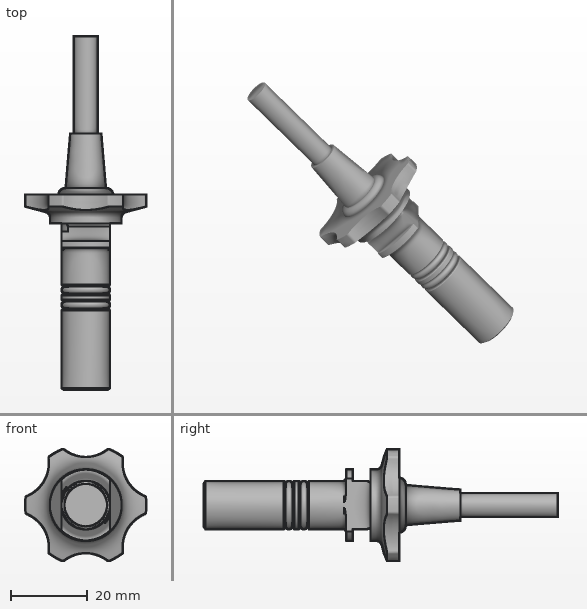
import cadquery as cq
import math

cable_radius = 3.175
cable_end_y = 41.4
relief_end_y = 15.95
relief_end_radius = 4.1
relief_base_radius = 5.3
dome_height = 1.7
dome_base_radius = 7.2

knob_diameter = 31.75
knob_radius = knob_diameter / 2
blank_margin = 1.0
face_cone_angle = math.radians(15)
collar_radius = 9.4
collar_fillet = 1.3
collar_fillet_end_y = -5.9
collar_front_y = -7.55
lobe_count = 6
scallop_floor_radius = 12.6
scallop_radius = 9.25
lobe_corner_fillet = 0.75
notch_width = 0.85
notch_length = 0.8
notch_depth = 0.8

body_radius = 6.35
neck_width = 2 * body_radius
flange_back_y = -12.15
flange_front_y = -14.0
flange_radius = collar_radius
flange_chamfer = 0.15
easing_length = 0.85
easing_drop = 0.4
corner_cut_width = 1.75
corner_cut_length = 2.15
corner_cut_depth = 1.8

body_fillet = 0.5
overall_length = 92.51
body_tip_y = cable_end_y - overall_length
tip_chamfer = 0.8
tip_chamfer_length = 0.5
ring_section = 1.78
groove_width = 2.4
groove_edge_chamfer = 0.2
ring_bite = 0.1
groove_floor_radius = body_radius - ring_section + ring_bite
ring_positions = (-24.95, -28.85)


def revolve_about_y(profile):
    """Close a half profile in the XY plane and spin it about the Y axis."""
    return profile.close().revolve(360, (0, 0, 0), (0, 1, 0))


def slab(width_x, y_start, y_end, height_z):
    """Box centred on the axis between two Y stations."""
    return cq.Workplane("XY").box(width_x, y_start - y_end, height_z).translate(
        (0, (y_start + y_end) / 2, 0)
    )


def make_cable():
    dome_radius = dome_base_radius - relief_base_radius
    return revolve_about_y(
        cq.Workplane("XY")
        .moveTo(0, cable_end_y)
        .lineTo(cable_radius, cable_end_y)
        .lineTo(cable_radius, relief_end_y)
        .lineTo(relief_end_radius, relief_end_y)
        .lineTo(relief_base_radius, dome_height)
        .radiusArc((dome_base_radius, 0), dome_radius)
        .lineTo(0, 0)
    )


def lobe_blank():
    """Six-lobed prism: round-ended lobes with an arc scallop between neighbours."""
    pitch = 360 / lobe_count
    scallop_centre = scallop_floor_radius + scallop_radius
    prism = cq.Workplane("XZ").circle(knob_radius).extrude(-collar_front_y)
    scallops = (
        cq.Workplane("XZ")
        .polarArray(scallop_centre, pitch / 2, 360, lobe_count)
        .circle(scallop_radius)
        .extrude(-collar_front_y)
    )
    return prism.cut(scallops).edges("|Y").fillet(lobe_corner_fillet)


def make_knob():
    """Lobed knob with a conical front face that blends into a round collar."""
    blend_radius = collar_radius + collar_fillet * (1 - math.sin(face_cone_angle))
    blend_y = collar_fillet_end_y + collar_fillet * math.cos(face_cone_angle)
    outer_radius = knob_radius + blank_margin
    outer_y = blend_y + (outer_radius - blend_radius) * math.tan(face_cone_angle)
    turned = revolve_about_y(
        cq.Workplane("XY")
        .lineTo(outer_radius, 0)
        .lineTo(outer_radius, outer_y)
        .lineTo(blend_radius, blend_y)
        .radiusArc((collar_radius, collar_fillet_end_y), -collar_fillet)
        .lineTo(collar_radius, collar_front_y)
        .lineTo(0, collar_front_y)
    )
    tip_notch = slab(notch_depth, 0, -notch_length, notch_width).translate(
        (notch_depth / 2 - knob_radius, 0, 0)
    )
    return turned.intersect(lobe_blank()).cut(tip_notch)


def make_neck():
    """Square neck, eased at the collar on top and bottom, with one corner bevelled."""
    half = neck_width / 2
    neck = (
        cq.Workplane("YZ")
        .moveTo(collar_front_y, half - easing_drop)
        .lineTo(collar_front_y - easing_length, half)
        .lineTo(flange_back_y, half)
        .lineTo(flange_back_y, -half)
        .lineTo(collar_front_y - easing_length, -half)
        .lineTo(collar_front_y, easing_drop - half)
        .close()
        .extrude(half, both=True)
    )
    corner_cut = (
        cq.Workplane("XZ", origin=(0, collar_front_y, 0))
        .moveTo(-half, half - corner_cut_depth)
        .lineTo(corner_cut_width - half, half)
        .lineTo(-half, half)
        .close()
        .extrude(corner_cut_length)
    )
    return neck.cut(corner_cut)


def make_flange():
    """Round flange and body root fillet, both cut flush with the neck sides."""
    turned = revolve_about_y(
        cq.Workplane("XY")
        .moveTo(0, flange_back_y)
        .lineTo(flange_radius, flange_back_y)
        .lineTo(flange_radius, flange_front_y + flange_chamfer)
        .lineTo(flange_radius - flange_chamfer, flange_front_y)
        .lineTo(body_radius + body_fillet, flange_front_y)
        .radiusArc((body_radius, flange_front_y - body_fillet), -body_fillet)
        .lineTo(0, flange_front_y - body_fillet)
    )
    sides = slab(neck_width, flange_back_y, flange_front_y - body_fillet, 2 * flange_radius)
    return turned.intersect(sides)


def make_groove():
    """Ring of material to remove for a groove with chamfered edges, centred on Y = 0."""
    half_floor = groove_width / 2
    half_mouth = half_floor + groove_edge_chamfer
    return revolve_about_y(
        cq.Workplane("XY")
        .moveTo(groove_floor_radius, half_floor)
        .lineTo(body_radius - groove_edge_chamfer, half_floor)
        .lineTo(body_radius, half_mouth)
        .lineTo(body_radius, -half_mouth)
        .lineTo(body_radius - groove_edge_chamfer, -half_floor)
        .lineTo(groove_floor_radius, -half_floor)
    )


def make_body():
    """Plug body with two grooves, each holding an O-ring flush with the surface."""
    body_start_y = flange_front_y - body_fillet
    body = revolve_about_y(
        cq.Workplane("XY")
        .moveTo(0, body_start_y)
        .lineTo(body_radius, body_start_y)
        .lineTo(body_radius, body_tip_y + tip_chamfer_length)
        .lineTo(body_radius - tip_chamfer, body_tip_y)
        .lineTo(0, body_tip_y)
    )
    ring_radius = ring_section / 2
    for ring_y in ring_positions:
        groove = make_groove().translate((0, ring_y, 0))
        ring = (
            cq.Workplane("XY")
            .center(body_radius - ring_radius, ring_y)
            .circle(ring_radius)
            .revolve(360, (ring_radius - body_radius, 0, 0), (ring_radius - body_radius, 1, 0))
        )
        body = body.cut(groove).union(ring)
    return body


result = make_cable()
for section in (make_knob(), make_neck(), make_flange(), make_body()):
    result = result.union(section)